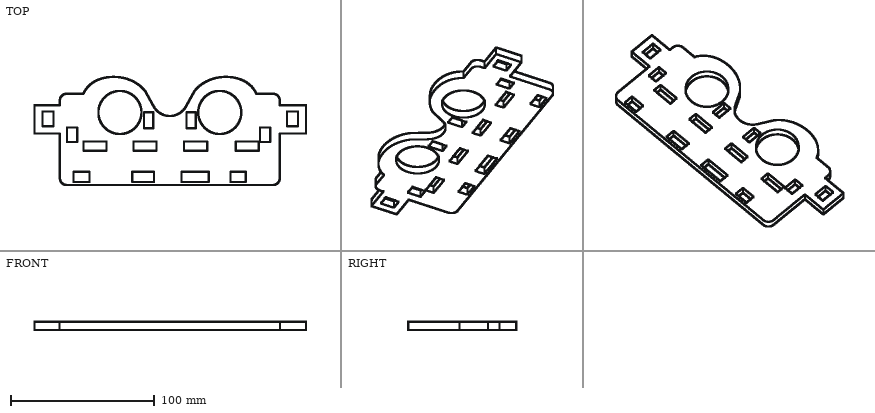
import cadquery as cq
import math

thickness = 6.0
body_half_width = 77.0
shoulder_height = 64.0
overall_height = 75.8
corner_radius = 5.0

overall_length = 189.89
left_tab_end = -94.65
right_tab_end = left_tab_end + overall_length
tab_bottom = 36.0
tab_width = 20.0

hole_diameter = 30.0
hole_offset = 34.9
hole_height = 50.8
arch_start = (60.55, shoulder_height)
arch_outer_flank = (53.0, 72.3)
arch_crest = (39.3, overall_height)
arch_inner_flank = (25.6, 72.6)

valley_bottom = 48.4
valley_radius = 12.8
flank_angle = math.radians(61.0)
flank_length = 12.2
valley_arc_end = (
    valley_radius * math.sin(flank_angle),
    valley_bottom + valley_radius * (1 - math.cos(flank_angle)),
)
flank_top = (
    valley_arc_end[0] + flank_length * math.cos(flank_angle),
    valley_arc_end[1] + flank_length * math.sin(flank_angle),
)

tab_window_size = (7.4, 10.2)
tab_window_centres = [(-85.2, 46.3), (85.8, 46.3)]

side_window_size = (7.0, 10.0)
side_window_centres = [(-68.3, 35.2), (66.7, 35.2)]

inner_window_size = (6.3, 11.0)
inner_window_centres = [(-14.9, 45.4), (14.9, 45.4)]

middle_slot_size = (16.0, 6.3)
middle_slot_height = 27.2
middle_slot_centres = [(x, middle_slot_height) for x in (-52.3, -17.4, 18.0, 54.1)]

lower_slot_depth = 7.0
lower_slot_height = 5.7
lower_slots = [(-61.8, 11.0), (-18.6, 15.0), (17.7, 19.0), (47.8, 10.5)]


def mirrored(point):
    """Reflect a point across the centreline of the body."""
    return (-point[0], point[1])


def plate():
    """Body with two arches, the valley between them and rounded corners."""
    left_arch = [mirrored(p) for p in (arch_outer_flank, arch_crest, arch_inner_flank, flank_top)]
    right_arch = [arch_inner_flank, arch_crest, arch_outer_flank, arch_start]
    outline = (
        cq.Workplane("XY")
        .moveTo(-body_half_width, 0)
        .lineTo(-body_half_width, shoulder_height)
        .lineTo(*mirrored(arch_start))
        .spline(left_arch, includeCurrent=True)
        .lineTo(*mirrored(valley_arc_end))
        .threePointArc((0, valley_bottom), valley_arc_end)
        .lineTo(*flank_top)
        .spline(right_arch, includeCurrent=True)
        .lineTo(body_half_width, shoulder_height)
        .lineTo(body_half_width, 0)
        .close()
    )
    return outline.extrude(thickness).edges("|Z and (<X or >X)").fillet(corner_radius)


def tab(tab_end, body_side):
    """Side tab reaching from its free end to the side of the body."""
    length = abs(tab_end - body_side)
    centre = ((tab_end + body_side) / 2, tab_bottom + tab_width / 2)
    return cq.Workplane("XY").center(*centre).rect(length, tab_width).extrude(thickness)


def windows(size, centres):
    """Rectangular through-cutters of one size."""
    return cq.Workplane("XY").pushPoints(centres).rect(*size).extrude(thickness)


def lens_holes():
    """Cutters for the two round holes."""
    centres = [(-hole_offset, hole_height), (hole_offset, hole_height)]
    return cq.Workplane("XY").pushPoints(centres).circle(hole_diameter / 2).extrude(thickness)


result = plate()
result = result.union(tab(left_tab_end, -body_half_width))
result = result.union(tab(right_tab_end, body_half_width))
result = result.cut(lens_holes())
result = result.cut(windows(tab_window_size, tab_window_centres))
result = result.cut(windows(side_window_size, side_window_centres))
result = result.cut(windows(inner_window_size, inner_window_centres))
result = result.cut(windows(middle_slot_size, middle_slot_centres))
for slot_x, slot_length in lower_slots:
    result = result.cut(windows((slot_length, lower_slot_depth), [(slot_x, lower_slot_height)]))